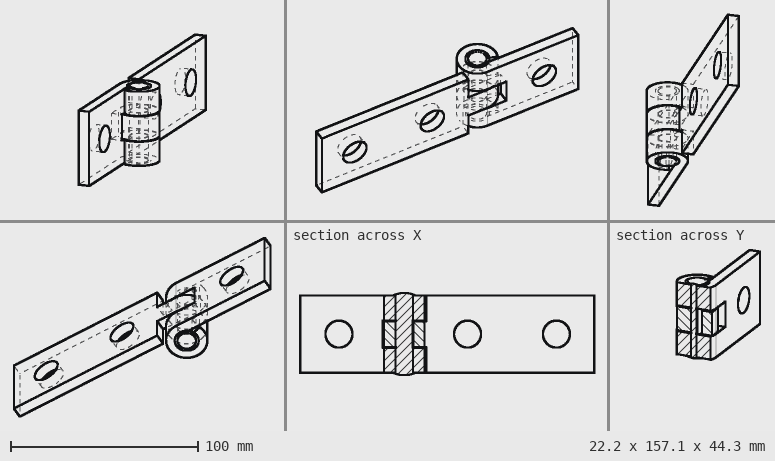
import cadquery as cq
import math

barrel_radius = 11.08
leaf_thickness = 6.1
bore_radius = barrel_radius - leaf_thickness
leaf_height = 41.3
overall_length = 157.1
short_leaf_length = 55.6
long_leaf_length = overall_length - short_leaf_length

tongue_height = 13.8
slot_height = 14.5
slot_clearance = 0.5
shoulder_clearance = 0.6
curl_end_angle = math.radians(16)
curl_tail = 0.8

hole_diameter = 14.3
long_leaf_holes = (33.8, 81.2)
short_leaf_holes = (34.9,)

head_radius = 6.5
head_height = 1.5


def curl_point(radius, angle, tail=0.0):
    """Point on the curl, moved along the tangent towards the leaf by tail."""
    x = -radius * math.sin(angle) - tail * math.cos(angle)
    y = -radius * math.cos(angle) + tail * math.sin(angle)
    return x, y


def curled_strip(length):
    """Flat leaf running to -Y, with its other end curled around the hinge axis."""
    return (
        cq.Workplane("XY", origin=(0, 0, -leaf_height / 2))
        .moveTo(-barrel_radius, -length)
        .lineTo(-barrel_radius, 0)
        .threePointArc((barrel_radius, 0), curl_point(barrel_radius, curl_end_angle))
        .lineTo(*curl_point(barrel_radius, curl_end_angle, curl_tail))
        .lineTo(*curl_point(bore_radius, curl_end_angle, curl_tail))
        .lineTo(*curl_point(bore_radius, curl_end_angle))
        .threePointArc((bore_radius, 0), (-bore_radius, 0))
        .lineTo(-bore_radius, -length)
        .close()
        .extrude(leaf_height)
    )


def relief_block(height, z_center, clearance):
    """Block that clears the other leaf's knuckle, over the whole barrel."""
    side = 2 * (barrel_radius + clearance)
    return cq.Workplane("XY", origin=(0, 0, z_center)).box(side, side, height)


def screw_holes(distances):
    """Cylinders through the leaf at the given distances from the hinge axis."""
    return (
        cq.Workplane("YZ", origin=(-barrel_radius, 0, 0))
        .pushPoints([(-distance, 0) for distance in distances])
        .circle(hole_diameter / 2)
        .extrude(leaf_thickness)
    )


def make_short_leaf():
    """Leaf with two outer knuckles and a slot between them."""
    leaf = curled_strip(short_leaf_length)
    leaf = leaf.cut(relief_block(slot_height, 0, slot_clearance))
    return leaf.cut(screw_holes(short_leaf_holes))


def make_long_leaf():
    """Leaf with a single middle knuckle, running to +Y."""
    leaf = curled_strip(long_leaf_length)
    relief_height = (leaf_height - tongue_height) / 2
    relief_center = (tongue_height + relief_height) / 2
    for side in (-1, 1):
        leaf = leaf.cut(relief_block(relief_height, side * relief_center, shoulder_clearance))
    leaf = leaf.cut(screw_holes(long_leaf_holes))
    return leaf.mirror("XZ")


def make_pin():
    """Rivet pin: straight shank with a shallow domed head at each end."""
    face = leaf_height / 2
    tip = face + head_height
    sphere_radius = (head_radius**2 + head_height**2) / (2 * head_height)
    arc_radius = head_radius / 2
    arc_height = tip - sphere_radius + math.sqrt(sphere_radius**2 - arc_radius**2)
    return (
        cq.Workplane("XZ")
        .moveTo(0, -tip)
        .threePointArc((arc_radius, -arc_height), (head_radius, -face))
        .lineTo(bore_radius, -face)
        .lineTo(bore_radius, face)
        .lineTo(head_radius, face)
        .threePointArc((arc_radius, arc_height), (0, tip))
        .close()
        .revolve(360, (0, 0, 0), (0, 1, 0))
    )


short_leaf = make_short_leaf()
long_leaf = make_long_leaf()
pin = make_pin()

result = cq.Compound.makeCompound([short_leaf.val(), long_leaf.val(), pin.val()])